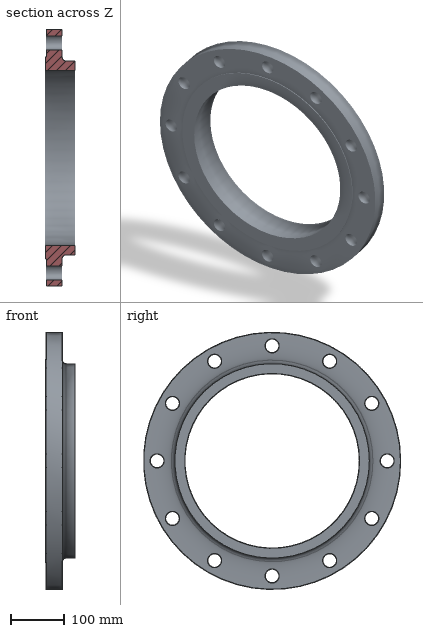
import cadquery as cq

outer_diameter = 482.5
bore_diameter = 327.0
total_length = 55.5

raised_face_diameter = 381.0
raised_face_height = 1.5
plate_back = 32.0

hub_diameter = 365.0
hub_fillet_radius = 6.8

bolt_circle_diameter = 432.0
bolt_hole_diameter = 25.5
bolt_count = 12


def disc(diameter, start, end):
    """Solid cylinder about the X axis between two X positions."""
    return cq.Workplane("YZ", origin=(start, 0, 0)).circle(diameter / 2).extrude(end - start)


raised_face = disc(raised_face_diameter, 0, plate_back)
plate = disc(outer_diameter, raised_face_height, plate_back)
hub = disc(hub_diameter, raised_face_height, total_length)
body = raised_face.union(plate).union(hub)

selection_margin = 0.5
hub_root = cq.selectors.BoxSelector(
    (plate_back - selection_margin, -hub_diameter, -hub_diameter),
    (plate_back + selection_margin, hub_diameter, hub_diameter),
)
hub_root_edge = body.edges(hub_root).edges(cq.selectors.RadiusNthSelector(0))
body = hub_root_edge.fillet(hub_fillet_radius)

body = body.cut(disc(bore_diameter, 0, total_length))

bolt_holes = (
    cq.Workplane("YZ")
    .polarArray(bolt_circle_diameter / 2, 0, 360, bolt_count)
    .circle(bolt_hole_diameter / 2)
    .extrude(total_length)
)
result = body.cut(bolt_holes)